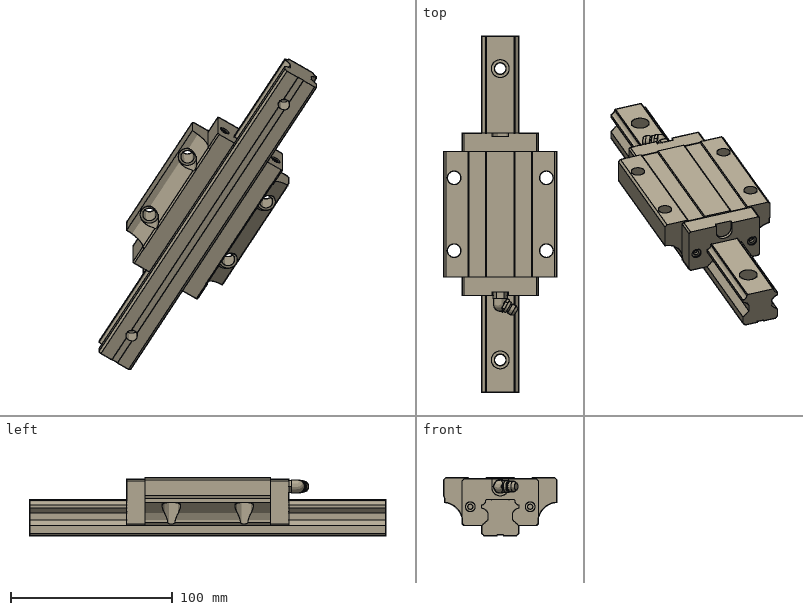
import cadquery as cq
import math

RAIL_LENGTH = 220.0
RAIL_WIDTH = 23.0
RAIL_HEIGHT = 22.4
OVERALL_HEIGHT = 36.0

BLOCK_WIDTH = 70.0
BLOCK_LENGTH = 77.6
CAP_WIDTH = 47.0
CAP_TOP = 35.0
CAP_LENGTH = 11.4
CARRIAGE_LENGTH = BLOCK_LENGTH + 2 * CAP_LENGTH

RAIL_TOP_HALF = 8.5
RAIL_TOP_CHAMFER = 0.5
RAIL_EAR_BEVEL_RUN = 0.7
RAIL_EAR_BEVEL_RISE = 0.2
RAIL_EAR_TOP = 19.0
RAIL_EAR_BOTTOM = 17.2
RAIL_WAIST_HALF = 7.6
RAIL_WAIST_TOP = 14.0
RAIL_WAIST_BOTTOM = 9.9
RAIL_FOOT_TOP = 6.3
RAIL_EDGE_CHAMFER = 1.5
RELIEF_WIDTH = 4.0
RELIEF_DEPTH = 0.6
UPPER_RACE_RADIUS = 3.0
LOWER_RACE_RADIUS = 5.0

RAIL_HOLE_SPACING = 180.0
RAIL_HOLE_DIAMETER = 7.0
RAIL_BORE_DIAMETER = 11.0
RAIL_BORE_DEPTH = 9.0

CARRIAGE_BOTTOM = RAIL_FOOT_TOP
BLOCK_TOP_CHAMFER = 1.4
FLANGE_BOTTOM = 20.6
FLANGE_STEP_WIDTH = 0.6
FLANGE_STEP_TOP = 24.8
FLANGE_STEP_BOTTOM = 23.2
SKIRT_HALF_WIDTH = 23.3
SKIRT_TOP = 8.2
SKIRT_TAPER = 1.0
FLANK_RADIUS = 12.2
PAD_INNER = 19.9
RIB_HALF_WIDTH = 8.5
PANEL_DEPTH = 0.6
PANEL_WALL_RUN = 0.6

MOUNT_SPACING_X = 57.0
MOUNT_SPACING_Y = 45.0
MOUNT_HOLE_DIAMETER = 8.2
SPOT_FACE_DIAMETER = 11.4

CAP_CHAMFER = 1.0
CAP_SCREW_X = 18.5
CAP_SCREW_Z = 18.0
CAP_SCREW_BORE_DIAMETER = 6.0
CAP_SCREW_BORE_DEPTH = 1.0
CAP_SCREW_HOLE_DIAMETER = 3.2
CAP_SCREW_HOLE_DEPTH = 3.0
PORT_WIDTH = 10.4
PORT_DEPTH = 2.2
PORT_ARC_HEIGHT = 29.9

NIPPLE_HEIGHT = 30.5
HEX_CORNERS = 8.8
ELBOW_DIAMETER = 8.2
HEX_LENGTH = 3.9
ELBOW_LENGTH = 4.0
ARM_ANGLE = 30.0
ARM_SETBACK = 1.2
COLLAR_START = 2.4
COLLAR_LENGTH = 1.8
NECK_RADIUS = 3.6
NECK_LENGTH = 1.8
WAIST_RADIUS = 2.5
WAIST_LENGTH = 1.0
HEAD_RADIUS = 3.3
HEAD_LENGTH = 2.5
TIP_RADIUS = 2.2
TIP_LENGTH = 1.9


def along_y(outline, length):
    """Extrude a closed XZ outline symmetrically about Y = 0."""
    return outline.extrude(length / 2, both=True)


def rail_half_outline(side):
    """Closed half section of the rail: head, upper race, ear, lower race, waist and foot."""
    half = RAIL_WIDTH / 2
    ear_shoulder = half - RAIL_EAR_BEVEL_RUN
    relief = RELIEF_WIDTH / 2
    return (
        cq.Workplane("XZ")
        .moveTo(0, RAIL_HEIGHT)
        .lineTo(side * RAIL_TOP_HALF, RAIL_HEIGHT)
        .lineTo(side * (RAIL_TOP_HALF + RAIL_TOP_CHAMFER), RAIL_HEIGHT - RAIL_TOP_CHAMFER)
        .radiusArc((side * ear_shoulder, RAIL_EAR_TOP + RAIL_EAR_BEVEL_RISE), -side * UPPER_RACE_RADIUS)
        .lineTo(side * half, RAIL_EAR_TOP)
        .lineTo(side * half, RAIL_EAR_BOTTOM)
        .lineTo(side * ear_shoulder, RAIL_EAR_BOTTOM - RAIL_EAR_BEVEL_RISE)
        .radiusArc((side * RAIL_WAIST_HALF, RAIL_WAIST_TOP), -side * LOWER_RACE_RADIUS)
        .lineTo(side * RAIL_WAIST_HALF, RAIL_WAIST_BOTTOM)
        .lineTo(side * half, RAIL_FOOT_TOP)
        .lineTo(side * half, RAIL_EDGE_CHAMFER)
        .lineTo(side * (half - RAIL_EDGE_CHAMFER), 0)
        .lineTo(side * relief, 0)
        .lineTo(side * relief, RELIEF_DEPTH)
        .lineTo(0, RELIEF_DEPTH)
        .close()
    )


right_half_rail = along_y(rail_half_outline(1), RAIL_LENGTH)
left_half_rail = along_y(rail_half_outline(-1), RAIL_LENGTH)
rail_bar = right_half_rail.union(left_half_rail)

rail = (
    rail_bar.faces(">Z")
    .workplane(origin=(0, 0, RAIL_HEIGHT))
    .rarray(1, RAIL_HOLE_SPACING, 1, 2)
    .cboreHole(RAIL_HOLE_DIAMETER, RAIL_BORE_DIAMETER, RAIL_BORE_DEPTH)
)


def block_bar():
    """Flanged block with a raised rib and pads on top, and hollow flanks below the flanges."""
    half = BLOCK_WIDTH / 2
    left_half = half - FLANGE_STEP_WIDTH
    skirt_foot = SKIRT_HALF_WIDTH - SKIRT_TAPER
    shoulder = OVERALL_HEIGHT - BLOCK_TOP_CHAMFER
    outline = (
        cq.Workplane("XZ")
        .moveTo(-skirt_foot, CARRIAGE_BOTTOM)
        .lineTo(-SKIRT_HALF_WIDTH, SKIRT_TOP)
        .radiusArc((-left_half, FLANGE_BOTTOM), -FLANK_RADIUS)
        .lineTo(-left_half, FLANGE_STEP_BOTTOM)
        .lineTo(-half, FLANGE_STEP_TOP)
        .lineTo(-half, shoulder)
        .lineTo(-half + BLOCK_TOP_CHAMFER, OVERALL_HEIGHT)
        .lineTo(half - BLOCK_TOP_CHAMFER, OVERALL_HEIGHT)
        .lineTo(half, shoulder)
        .lineTo(half, FLANGE_BOTTOM)
        .lineTo(left_half, FLANGE_BOTTOM)
        .radiusArc((SKIRT_HALF_WIDTH, SKIRT_TOP), -FLANK_RADIUS)
        .lineTo(skirt_foot, CARRIAGE_BOTTOM)
        .close()
    )
    return along_y(outline, BLOCK_LENGTH)


def top_panel(side):
    """Shallow sunken panel with sloped walls between the centre rib and one pad."""
    panel_z = OVERALL_HEIGHT - PANEL_DEPTH
    outline = (
        cq.Workplane("XZ")
        .moveTo(side * RIB_HALF_WIDTH, OVERALL_HEIGHT)
        .lineTo(side * (RIB_HALF_WIDTH + PANEL_WALL_RUN), panel_z)
        .lineTo(side * (PAD_INNER - PANEL_WALL_RUN), panel_z)
        .lineTo(side * PAD_INNER, OVERALL_HEIGHT)
        .close()
    )
    return along_y(outline, BLOCK_LENGTH)


def mount_tools():
    """Drills for the four flange holes and the spot faces beneath them."""
    pattern = cq.Workplane("XY").rarray(MOUNT_SPACING_X, MOUNT_SPACING_Y, 2, 2)
    drills = pattern.circle(MOUNT_HOLE_DIAMETER / 2).extrude(OVERALL_HEIGHT)
    spot_faces = pattern.circle(SPOT_FACE_DIAMETER / 2).extrude(FLANGE_BOTTOM)
    return drills.union(spot_faces)


def front_cap():
    """Front end cap, chamfered along its edges parallel to Y, with its cuts made."""
    cap_height = CAP_TOP - CARRIAGE_BOTTOM
    return (
        cq.Workplane("XY")
        .box(CAP_WIDTH, CAP_LENGTH, cap_height, centered=(True, False, False))
        .translate((0, -CARRIAGE_LENGTH / 2, CARRIAGE_BOTTOM))
        .edges("|Y")
        .chamfer(CAP_CHAMFER)
        .cut(cap_cuts())
    )


def cap_cuts():
    """Cuts in the front cap: two screw seats and the grease port, open at the top."""
    face = cq.Workplane("XZ", origin=(0, -CARRIAGE_LENGTH / 2, 0))
    screws = face.pushPoints([(-CAP_SCREW_X, CAP_SCREW_Z), (CAP_SCREW_X, CAP_SCREW_Z)])
    seats = screws.circle(CAP_SCREW_BORE_DIAMETER / 2).extrude(-CAP_SCREW_BORE_DEPTH)
    holes = screws.circle(CAP_SCREW_HOLE_DIAMETER / 2).extrude(-CAP_SCREW_HOLE_DEPTH)
    half = PORT_WIDTH / 2
    port = (
        face.moveTo(-half, CAP_TOP)
        .lineTo(-half, PORT_ARC_HEIGHT)
        .threePointArc((0, PORT_ARC_HEIGHT - half), (half, PORT_ARC_HEIGHT))
        .lineTo(half, CAP_TOP)
        .close()
        .extrude(-PORT_DEPTH)
    )
    return port.union(seats).union(holes)


block = block_bar().cut(mount_tools())
for side in (-1, 1):
    block = block.cut(top_panel(side))

cap = front_cap()
carriage = block.union(cap).union(cap.mirror("XZ")).cut(rail_bar)


def grease_nipple():
    """Elbow nipple: hexagon and round elbow along -Y, then an arm turned toward +X."""
    seat_y = -CARRIAGE_LENGTH / 2 + PORT_DEPTH
    round_y = seat_y - HEX_LENGTH
    ball_y = round_y - ELBOW_LENGTH
    base = (
        cq.Workplane("XZ", origin=(0, seat_y, NIPPLE_HEIGHT))
        .polygon(6, HEX_CORNERS)
        .extrude(HEX_LENGTH)
    )
    elbow = (
        cq.Workplane("XZ", origin=(0, round_y, NIPPLE_HEIGHT))
        .circle(ELBOW_DIAMETER / 2)
        .extrude(ELBOW_LENGTH)
    )
    ball = cq.Workplane("XY", origin=(0, ball_y, NIPPLE_HEIGHT)).sphere(ELBOW_DIAMETER / 2)

    turn = math.radians(ARM_ANGLE)
    arm_plane = cq.Plane(
        origin=(0, ball_y + ARM_SETBACK, NIPPLE_HEIGHT),
        xDir=(math.sin(turn), math.cos(turn), 0),
        normal=(math.cos(turn), -math.sin(turn), 0),
    )
    collar = (
        cq.Workplane(arm_plane)
        .workplane(offset=COLLAR_START)
        .polygon(6, HEX_CORNERS)
        .extrude(COLLAR_LENGTH)
    )
    neck_start = COLLAR_START + COLLAR_LENGTH
    waist_start = neck_start + NECK_LENGTH
    head_start = waist_start + WAIST_LENGTH
    tip_start = head_start + HEAD_LENGTH
    arm_end = tip_start + TIP_LENGTH
    turning_plane = cq.Plane(arm_plane.origin, xDir=arm_plane.xDir, normal=(0, 0, 1))
    nozzle = (
        cq.Workplane(turning_plane)
        .moveTo(0, 0)
        .lineTo(NECK_RADIUS, 0)
        .lineTo(NECK_RADIUS, -waist_start)
        .lineTo(WAIST_RADIUS, -waist_start)
        .lineTo(WAIST_RADIUS, -head_start)
        .lineTo(HEAD_RADIUS, -head_start)
        .lineTo(HEAD_RADIUS, -tip_start)
        .lineTo(TIP_RADIUS, -arm_end)
        .lineTo(0, -arm_end)
        .close()
        .revolve(360, (0, 0, 0), (0, 1, 0))
    )
    return base.union(elbow).union(ball).union(collar).union(nozzle)


nipple = grease_nipple()

result = cq.Compound.makeCompound([rail.val(), carriage.val(), nipple.val()])